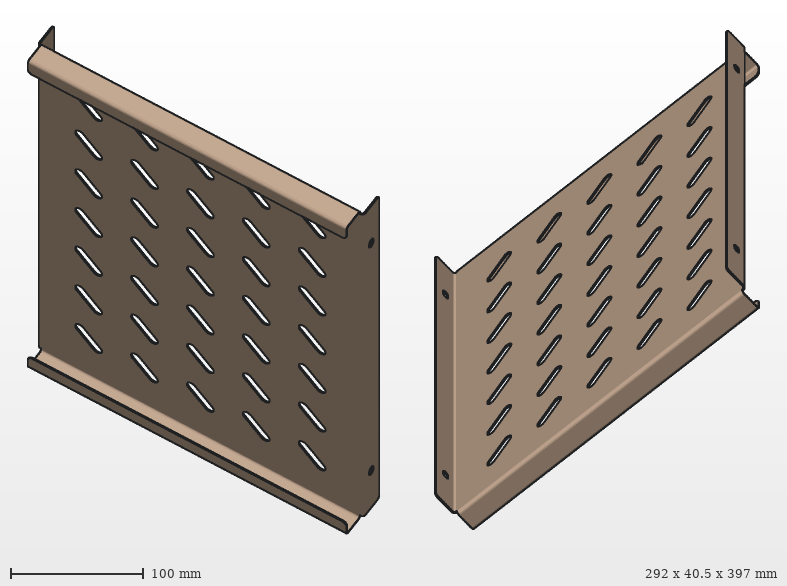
import cadquery as cq

thickness = 1.2
inner_bend_radius = 1.9
outer_bend_radius = inner_bend_radius + thickness

width = 292.0
height = 397.0
depth = 40.5

side_flange_depth = 22.0
side_flange_end_gap = 3.5
side_flange_length = height - 2 * side_flange_end_gap
flange_corner_radius = 3.0

channel_depth = depth - side_flange_depth + thickness
channel_side_gap = 3.5
channel_length = width - 2 * channel_side_gap
channel_lip_height = 15.0
lip_corner_radius = 4.0

slot_columns = 5
slot_rows = 7
slot_pitch = 50.0
slot_length = 30.5
slot_width = 8.5
slot_angle = -45.0

mount_slot_spacing = 294.0
mount_slot_height = 8.5
mount_slot_width = 6.0
mount_slot_y = side_flange_depth / 2


def side_bent_plate():
    """Plate with its two long edges folded back into side flanges."""
    centered = (True, False, True)
    body = (
        cq.Workplane("XY")
        .box(width, side_flange_depth, side_flange_length, centered=centered)
        .edges("|Z and <Y")
        .fillet(outer_bend_radius)
    )
    hollow = (
        cq.Workplane("XY", origin=(0, thickness, 0))
        .box(width - 2 * thickness, side_flange_depth, side_flange_length, centered=centered)
        .edges("|Z and <Y")
        .fillet(inner_bend_radius)
    )
    return body.cut(hollow).edges("|X and >Y").fillet(flange_corner_radius)


def lip_opening():
    """Gap between the two channel lips, flared where the lip corners are rounded."""
    opening_height = height - 2 * channel_lip_height
    half_length = channel_length / 2
    half_opening = opening_height / 2
    outline = cq.Workplane("XZ", origin=(0, thickness - channel_depth / 2, 0))
    opening = outline.rect(channel_length, opening_height).extrude(thickness)
    for side in (-1, 1):
        for end in (-1, 1):
            corner_x = side * half_length
            round_x = side * (half_length - lip_corner_radius)
            lip_edge_z = end * half_opening
            round_z = end * (half_opening + lip_corner_radius)
            corner_cut = (
                outline.moveTo(corner_x, lip_edge_z)
                .lineTo(round_x, lip_edge_z)
                .radiusArc((corner_x, round_z), -side * end * lip_corner_radius)
                .close()
                .extrude(thickness)
            )
            opening = opening.union(corner_cut)
    return opening


def end_channels():
    """Top and bottom edges of the plate folded forward, then inward into lips."""
    body = (
        cq.Workplane("XY")
        .box(channel_length, channel_depth, height)
        .edges("|X")
        .fillet(outer_bend_radius)
    )
    hollow = (
        cq.Workplane("XY")
        .box(channel_length, channel_depth - 2 * thickness, height - 2 * thickness)
        .edges("|X")
        .fillet(inner_bend_radius)
    )
    channels = body.cut(hollow).cut(lip_opening())
    return channels.translate((0, thickness - channel_depth / 2, 0))


def diagonal_slots():
    """Grid of inclined slots through the plate."""
    return (
        cq.Workplane("XZ", origin=(0, thickness, 0))
        .rarray(slot_pitch, slot_pitch, slot_columns, slot_rows)
        .slot2D(slot_length, slot_width, slot_angle)
        .extrude(thickness)
    )


def mount_slots():
    """Upright slots running across both side flanges."""
    return (
        cq.Workplane("YZ", origin=(-width / 2, 0, 0))
        .pushPoints([(mount_slot_y, -mount_slot_spacing / 2), (mount_slot_y, mount_slot_spacing / 2)])
        .slot2D(mount_slot_height, mount_slot_width, 90)
        .extrude(width)
    )


shelf = side_bent_plate().union(end_channels())
result = shelf.cut(diagonal_slots()).cut(mount_slots())